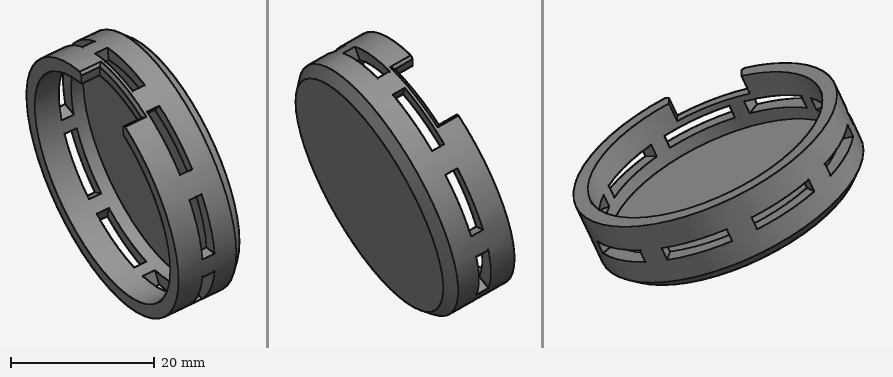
import cadquery as cq

outer_diameter = 40.0
bore_diameter = 35.6
height = 11.0
floor_thickness = 3.0
back_chamfer = 1.5

window_count = 9
window_width = 10.0
window_start = 4.0
window_height = 2.0

notch_width = 11.0
notch_depth = 3.0
notch_bevel = 0.5

outer_radius = outer_diameter / 2
cavity_depth = height - floor_thickness


def cylinder(diameter, length):
    """Cylinder on the Y axis, from the rim plane toward +Y."""
    return cq.Workplane("XZ").circle(diameter / 2).extrude(-length)


def window_cutter(angle):
    """Bar from the axis out through the wall at one angle from -X."""
    bar = cq.Workplane("XY").box(
        outer_diameter, window_height, window_width, centered=(False, False, True)
    )
    bar = bar.translate((0, window_start, 0))
    return bar.rotate((0, 0, 0), (0, 1, 0), 180 + angle)


def cut_notch(body):
    """Cut the rim notch and bevel the three edges it leaves on the outer wall."""
    cutter = cq.Workplane("XY").box(
        notch_width, notch_depth, outer_diameter, centered=(True, False, False)
    )
    notched = body.cut(cutter)
    half_width = notch_width / 2
    edge_height = (outer_radius**2 - half_width**2) ** 0.5
    margin = 0.05
    outer_edges = cq.selectors.BoxSelector(
        (-half_width - margin, margin, edge_height - margin),
        (half_width + margin, notch_depth + margin, outer_diameter),
    )
    return notched.edges(outer_edges).chamfer(notch_bevel)


cap = cylinder(outer_diameter, height).faces(">Y").edges().chamfer(back_chamfer)
cap = cap.cut(cylinder(bore_diameter, cavity_depth))
cap = cut_notch(cap)
for index in range(window_count):
    cap = cap.cut(window_cutter(index * 360 / window_count))

result = cap